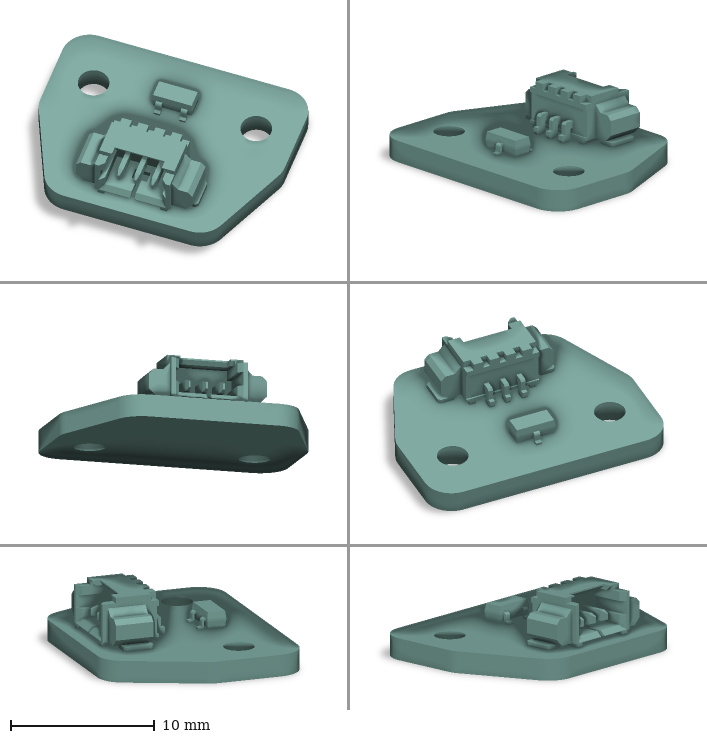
import cadquery as cq


board_length = 18.0
board_depth = 14.0
board_thickness = 1.57
board_corner_radius = 2.0
board_front_inset = 3.0
mount_hole_diameter = 2.2
mount_hole_x = 6.0
mount_hole_y = 3.0

total_height = 5.02
housing_half_width = 2.77
housing_front = -5.9
housing_back = -1.71
housing_bottom = 1.87
cavity_half_width = 2.12
cavity_back = -3.0
cavity_floor = 2.25
cavity_ceiling = 4.63
mouth_bevel = 0.35
roof_front = -4.91
roof_bevel = 0.29
roof_notch_half_width = 1.84
roof_notch_back = -4.32
groove_bottom = 2.99
groove_top = 3.95
floor_slot_width = 0.32
floor_pocket_half_width = 0.55
floor_pocket_front = -4.43
floor_pocket_back = -3.6
corner_notch_width = 0.54
contact_notch_width = 0.5
back_notch_depth = 0.58
back_notch_height = 0.5
back_recess_depth = 0.13
back_recess_bottom = 2.09
back_recess_top = 4.12
runner_inner_x = 2.07
runner_width = 0.49

ear_half_span = 4.28
ear_front = -5.49
ear_back = -2.7
ear_top = 3.82
ear_shelf_half_span = 3.24
ear_brace_rise = 0.5
ear_upper_chamfer = 0.35
ear_lower_chamfer = 0.52
tab_half_span = 4.46
tab_front = -4.9
tab_corner_chamfer = 0.18
tab_inner_x = 3.02
tab_end_slope = 0.29

contact_pitch = 1.25
contact_width = 0.36
contact_bottom = 2.57
contact_top = 3.35
contact_shoulder = -4.75
contact_tip = -5.24
contact_tip_width = 0.13
contact_tip_inset = 0.16
lead_top = 3.0
lead_thickness = 0.5
lead_leg_back = -1.05
lead_toe_back = -0.74
lead_toe_height = 0.55
lead_bend = 0.15
lead_foot_round = 0.23

transistor_y = 3.1
transistor_length = 2.99
transistor_depth = 1.42
transistor_bottom = 1.73
transistor_top = 2.85
transistor_draft_inset = 0.07
wing_band_bottom = 2.2
wing_thickness = 0.16
wing_width = 0.45
wing_pitch = 0.94
wing_leg_reach = 0.97
wing_toe_reach = 1.26
wing_outer_bend = 0.22
wing_inner_bend = 0.07


def block(x_min, x_max, y_min, y_max, z_min, z_max):
    """Box between two opposite corners."""
    box = cq.Workplane("XY").box(x_max - x_min, y_max - y_min, z_max - z_min, centered=False)
    return box.translate((x_min, y_min, z_min))


def centred_block(half_width, y_min, y_max, z_min, z_max):
    """Box that is symmetric about the YZ plane."""
    return block(-half_width, half_width, y_min, y_max, z_min, z_max)


def side_profile(points, width):
    """Outline of (Y, Z) points extruded symmetrically along X."""
    return cq.Workplane("YZ").polyline(points).close().extrude(width / 2, both=True)


def both_sides(shape):
    """The shape together with its mirror image across the YZ plane."""
    return shape.union(shape.mirror("YZ"))


def make_board():
    half_length = board_length / 2
    half_depth = board_depth / 2
    front_half_length = half_length - board_front_inset
    outline = [
        (-half_length, half_depth),
        (half_length, half_depth),
        (half_length, 0),
        (front_half_length, -half_depth),
        (-front_half_length, -half_depth),
        (-half_length, 0),
    ]
    plate = cq.Workplane("XY").polyline(outline).close().extrude(board_thickness)
    plate = plate.edges("|Z").fillet(board_corner_radius)
    holes = (
        cq.Workplane("XY")
        .pushPoints([(-mount_hole_x, mount_hole_y), (mount_hole_x, mount_hole_y)])
        .circle(mount_hole_diameter / 2)
        .extrude(board_thickness)
    )
    return plate.cut(holes)


def make_cavity():
    """Mating cavity with its bevelled mouth, side grooves, open front top and floor slot."""
    cavity = centred_block(cavity_half_width, housing_front, cavity_back, cavity_floor, cavity_ceiling)

    mouth_height = cavity_ceiling - cavity_floor
    mouth = (
        cq.Workplane("XZ", origin=(0, housing_front, cavity_floor + mouth_height / 2 - mouth_bevel / 2))
        .rect(2 * (cavity_half_width + mouth_bevel), mouth_height + mouth_bevel)
        .workplane(offset=-mouth_bevel)
        .center(0, mouth_bevel / 2)
        .rect(2 * cavity_half_width, mouth_height)
        .loft(ruled=True)
    )

    grooves = centred_block(
        cavity_half_width + mouth_bevel, housing_front, cavity_back, groove_bottom, groove_top
    )
    floor_slot = centred_block(
        floor_slot_width / 2, housing_front, floor_pocket_front, housing_bottom, cavity_floor
    )
    floor_pocket = centred_block(
        floor_pocket_half_width, floor_pocket_front, floor_pocket_back, housing_bottom, cavity_floor
    )
    return cavity.union(mouth).union(grooves).union(floor_slot).union(floor_pocket)


def roof_bevel_cut(edge_y, half_width):
    """Wedge that bevels the underside of a roof edge at edge_y."""
    wedge = [
        (edge_y, cavity_ceiling),
        (edge_y + roof_bevel, cavity_ceiling),
        (edge_y, cavity_ceiling + roof_bevel),
    ]
    return side_profile(wedge, 2 * half_width)


def back_notch(notch_x, width):
    """Cut for one notch in the rear top edge of the housing."""
    notch_front = housing_back - back_notch_depth
    notch_floor = total_height - back_notch_height
    notch = centred_block(width / 2, notch_front, housing_back, notch_floor, total_height)
    return notch.translate((notch_x, 0, 0))


def make_housing():
    body = centred_block(housing_half_width, housing_front, housing_back, housing_bottom, total_height)
    body = body.cut(make_cavity())

    body = body.cut(
        centred_block(housing_half_width, housing_front, roof_front, cavity_ceiling, total_height)
    )
    body = body.cut(
        centred_block(roof_notch_half_width, roof_front, roof_notch_back, cavity_ceiling, total_height)
    )
    body = body.cut(roof_bevel_cut(roof_front, cavity_half_width))
    body = body.cut(roof_bevel_cut(roof_notch_back, roof_notch_half_width))

    for notch_x in (-contact_pitch, 0, contact_pitch):
        body = body.cut(back_notch(notch_x, contact_notch_width))
    corner_notch_x = housing_half_width - corner_notch_width / 2
    for notch_x in (-corner_notch_x, corner_notch_x):
        body = body.cut(back_notch(notch_x, corner_notch_width))

    body = body.cut(
        centred_block(
            housing_half_width,
            housing_back - back_recess_depth,
            housing_back,
            back_recess_bottom,
            back_recess_top,
        )
    )

    runner = block(
        runner_inner_x,
        runner_inner_x + runner_width,
        housing_front,
        housing_back,
        board_thickness,
        housing_bottom,
    )
    return body.union(both_sides(runner))


def make_ears():
    outline = [
        (housing_half_width, housing_bottom),
        (ear_half_span - ear_lower_chamfer, housing_bottom),
        (ear_half_span, housing_bottom + ear_lower_chamfer),
        (ear_half_span, ear_top - ear_upper_chamfer),
        (ear_half_span - ear_upper_chamfer, ear_top),
        (ear_shelf_half_span, ear_top),
        (housing_half_width, ear_top + ear_brace_rise),
    ]
    ear = (
        cq.Workplane("XZ", origin=(0, ear_front, 0))
        .polyline(outline)
        .close()
        .extrude(ear_front - ear_back)
    )
    return both_sides(ear)


def make_solder_tabs():
    outline = [
        (tab_inner_x, housing_bottom),
        (tab_inner_x + tab_end_slope, board_thickness),
        (tab_half_span, board_thickness),
        (tab_half_span, housing_bottom),
    ]
    tab = (
        cq.Workplane("XZ", origin=(0, tab_front, 0))
        .polyline(outline)
        .close()
        .extrude(tab_front - ear_back)
    )
    tab = tab.edges("|Z and >X").chamfer(tab_corner_chamfer)
    return both_sides(tab)


def make_contact(contact_x):
    """One contact: a tapered blade in the cavity and a bent solder lead behind the housing."""
    wall_face = housing_back - back_recess_depth
    blade_height = contact_top - contact_bottom
    blade_middle = (contact_top + contact_bottom) / 2
    blade = centred_block(
        contact_width / 2, contact_shoulder, cavity_back, contact_bottom, contact_top
    )
    tip = (
        cq.Workplane("XZ", origin=(0, contact_shoulder, blade_middle))
        .rect(contact_width, blade_height)
        .workplane(offset=contact_shoulder - contact_tip)
        .rect(contact_tip_width, blade_height - 2 * contact_tip_inset)
        .loft(ruled=True)
    )

    leg_front = lead_leg_back - lead_thickness
    lead_outline = [
        (wall_face, lead_top),
        (lead_leg_back, lead_top),
        (lead_leg_back, board_thickness + lead_toe_height),
        (lead_toe_back, board_thickness + lead_toe_height),
        (lead_toe_back, board_thickness),
        (leg_front, board_thickness),
        (leg_front, lead_top - lead_thickness),
        (wall_face, lead_top - lead_thickness),
    ]
    lead = side_profile(lead_outline, contact_width)
    underside_bend = cq.selectors.NearestToPointSelector((0, leg_front, lead_top - lead_thickness))
    outer_bend = cq.selectors.NearestToPointSelector((0, lead_leg_back, lead_top))
    lead = lead.edges("|X and <Z").fillet(lead_foot_round)
    lead = lead.edges(underside_bend).fillet(lead_bend)
    lead = lead.edges(outer_bend).chamfer(lead_bend)
    return blade.union(tip).union(lead).translate((contact_x, 0, 0))


def make_connector():
    connector = make_housing().union(make_ears()).union(make_solder_tabs())
    for contact_x in (-contact_pitch, 0, contact_pitch):
        connector = connector.union(make_contact(contact_x))
    return connector


def drafted_block(z_start, height):
    """Half of the transistor body, narrowing away from z_start; a negative height goes down."""
    taper = 2 * transistor_draft_inset
    return (
        cq.Workplane("XY", origin=(0, 0, z_start))
        .rect(transistor_length, transistor_depth)
        .workplane(offset=height)
        .rect(transistor_length - taper, transistor_depth - taper)
        .loft(ruled=True)
    )


def make_wing():
    """Gull-wing lead that leaves the transistor body toward +Y."""
    band_top = wing_band_bottom + wing_thickness
    toe_top = board_thickness + wing_thickness
    leg_inner = wing_leg_reach - wing_thickness
    outline = [
        (0, wing_band_bottom),
        (leg_inner, wing_band_bottom),
        (leg_inner, board_thickness),
        (wing_toe_reach, board_thickness),
        (wing_toe_reach, toe_top),
        (wing_leg_reach, toe_top),
        (wing_leg_reach, band_top),
        (0, band_top),
    ]
    wing = side_profile(outline, wing_width)
    inner_bends = [(leg_inner, wing_band_bottom), (wing_leg_reach, toe_top)]
    outer_bends = [(leg_inner, board_thickness), (wing_leg_reach, band_top)]
    for bend_y, bend_z in inner_bends:
        bend = cq.selectors.NearestToPointSelector((0, bend_y, bend_z))
        wing = wing.edges(bend).fillet(wing_inner_bend)
    for bend_y, bend_z in outer_bends:
        bend = cq.selectors.NearestToPointSelector((0, bend_y, bend_z))
        wing = wing.edges(bend).fillet(wing_outer_bend)
    return wing


def make_transistor():
    band_top = wing_band_bottom + wing_thickness
    band = (
        cq.Workplane("XY", origin=(0, 0, wing_band_bottom))
        .rect(transistor_length, transistor_depth)
        .extrude(wing_thickness)
    )
    body = band.union(drafted_block(band_top, transistor_top - band_top))
    body = body.union(drafted_block(wing_band_bottom, transistor_bottom - wing_band_bottom))

    back_wing = make_wing()
    front_wing = back_wing.mirror("XZ")
    body = body.union(back_wing)
    for wing_x in (-wing_pitch, wing_pitch):
        body = body.union(front_wing.translate((wing_x, 0, 0)))
    return body.translate((0, transistor_y, 0))


board = make_board()
connector = make_connector()
transistor = make_transistor()

result = cq.Compound.makeCompound([board.val(), connector.val(), transistor.val()])